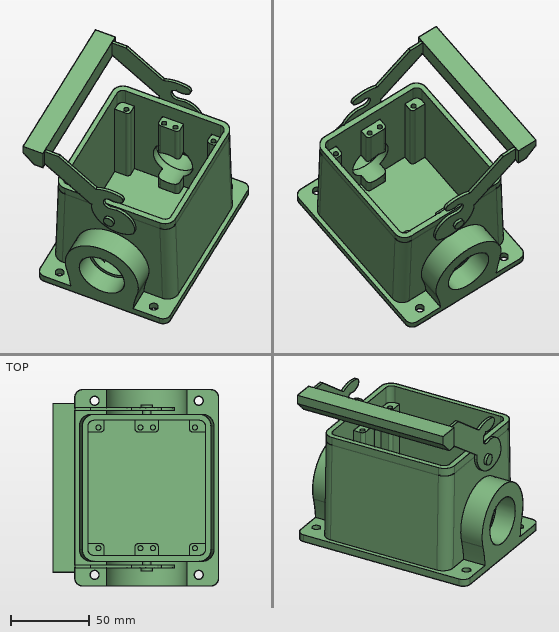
import cadquery as cq
import math

flange_x = 92.25
flange_y = 126.0
flange_height = 5.0
flange_corner_radius = 5.2
mount_hole_diameter = 5.6
mount_hole_spacing_x = 66.7
mount_hole_spacing_y = 111.5

shell_bottom_x = 86.25
shell_top_x = 82.45
shell_y = 94.2
shell_corner_radius = 7.6
shell_top = 79.0
rim_height = 5.6
rim_bottom = shell_top - rim_height
wall_x = 3.5
wall_y = 3.8
cavity_x = shell_top_x - 2 * wall_x
cavity_y = shell_y - 2 * wall_y
cavity_corner_radius = shell_corner_radius - wall_x

post_top = 67.0
post_depth = 7.6
post_corner_radius = 2.3
corner_post_width = 10.4
centre_post_width = 15.0
screw_hole_diameter = 3.2
screw_hole_depth = 12.0
corner_screw_x = 30.9
centre_screw_x = 4.0
screw_y = 38.65

entry_z = 27.0
entry_radius = 25.9
entry_neck_drop = 7.3
entry_bore_radius = 16.0
entry_hole_radius = 14.0
entry_bore_depth = 14.3

pivot_z = 69.0
stud_radius = 2.65
stud_head_radius = 3.6
stud_end_y = 53.2

plate_outer_y = 51.3
plate_thickness = 1.9
overall_x = 106.25
bar_left_x = flange_x / 2 - overall_x
bar_size = 14.1
bar_chamfer = 8.0
bar_length = 108.2
bar_top = 114.8
arm_start_x = bar_left_x + bar_size
arm_top_drop = 1.0
arm_top_z = bar_top - arm_top_drop
arm_top_end_x = -36.1
arm_bottom_start = (-45.5, 101.2)
notch_above_pivot = 16.0
notch_z = pivot_z + notch_above_pivot
notch_radius = 4.4
finger_root = (-9.8, 94.85)
finger_crest = (0.0, 97.0)
finger_tip_top = (7.4, 96.0)
finger_tip = (9.5, 93.1)
finger_tip_bottom = (7.4, 89.9)
finger_under_bend = (3.2, 88.8)
notch_upper_end = (-0.6, 89.4)
notch_lower_end = (0.0, notch_z - notch_radius)
cam_top_start = (5.0, 81.4)
cam_top_mid = (14.3, 77.2)
cam_nose_start = (17.7, 69.3)
cam_nose_mid = (17.5, 66.0)
cam_bottom_start = (16.6, 63.8)
cam_bottom_mid = (1.0, 60.2)
cam_bottom_end = (-12.7, 74.5)
arm_bottom_end = (-12.7, 77.9)


def rounded_slab(size_x, size_y, radius, z_bottom, z_top):
    """Upright block with rounded vertical corners."""
    slab = cq.Workplane("XY", origin=(0, 0, z_bottom)).rect(size_x, size_y).extrude(z_top - z_bottom)
    return slab.edges("|Z").fillet(radius)


def make_shell_block():
    """Solid outer shape of the shell: drafted in X up to the rim, then straight."""
    drafted = (
        cq.Workplane("XZ", origin=(0, shell_y / 2, 0))
        .moveTo(-shell_bottom_x / 2, flange_height)
        .lineTo(shell_bottom_x / 2, flange_height)
        .lineTo(shell_top_x / 2, rim_bottom)
        .lineTo(-shell_top_x / 2, rim_bottom)
        .close()
        .extrude(shell_y)
    )
    upright_edges = drafted.faces("<Y or >Y").edges("not #Z")
    drafted = upright_edges.fillet(shell_corner_radius)
    rim = rounded_slab(shell_top_x, shell_y, shell_corner_radius, rim_bottom, shell_top)
    return drafted.union(rim, clean=False)


def cylinder_y(radius, z, y_start, y_end):
    """Cylinder along Y at x = 0."""
    base = cq.Vector(0, y_start, z)
    return cq.Workplane(cq.Solid.makeCylinder(radius, y_end - y_start, base, cq.Vector(0, 1, 0)))


def make_cable_entry():
    """Round hub on a necked foot that flares out of the flange, across the whole flange in Y."""
    neck_x = math.sqrt(entry_radius**2 - entry_neck_drop**2)
    neck_z = entry_z - entry_neck_drop
    foot_radius = entry_radius * (entry_z / entry_neck_drop - 1)
    foot_centre_x = neck_x * (entry_radius + foot_radius) / entry_radius
    mid_angle = math.asin(neck_z / foot_radius) / 2
    foot_mid_x = foot_centre_x - foot_radius * math.cos(mid_angle)
    foot_mid_z = foot_radius * math.sin(mid_angle)
    foot_x = foot_centre_x - foot_radius
    return (
        cq.Workplane("XZ", origin=(0, flange_y / 2, 0))
        .moveTo(-foot_x, 0)
        .lineTo(foot_x, 0)
        .threePointArc((foot_mid_x, foot_mid_z), (neck_x, neck_z))
        .threePointArc((0, entry_z + entry_radius), (-neck_x, neck_z))
        .threePointArc((-foot_mid_x, foot_mid_z), (-foot_x, 0))
        .close()
        .extrude(flange_y)
    )


def make_post(x_centre, width, side, rounded_edges):
    """Screw post standing on the floor, grown from the Y wall on the given side."""
    y_centre = side * (cavity_y - post_depth) / 2
    post = (
        cq.Workplane("XY", origin=(x_centre, y_centre, flange_height))
        .rect(width, post_depth)
        .extrude(post_top - flange_height)
    )
    inner_face = "<Y" if side > 0 else ">Y"
    return post.faces(inner_face).edges(rounded_edges).fillet(post_corner_radius)


def make_posts():
    posts = cq.Workplane("XY")
    corner_post_x = (cavity_x - corner_post_width) / 2
    for side in (-1, 1):
        posts = posts.union(make_post(0, centre_post_width, side, "|Z"))
        for end in (-1, 1):
            inner_edge = "|Z and <X" if end > 0 else "|Z and >X"
            posts = posts.union(make_post(end * corner_post_x, corner_post_width, side, inner_edge))
    return posts


def make_housing():
    outer = make_shell_block()
    cavity = rounded_slab(cavity_x, cavity_y, cavity_corner_radius, flange_height, shell_top)
    flange = rounded_slab(flange_x, flange_y, flange_corner_radius, 0, flange_height)
    body = flange.union(make_cable_entry()).union(outer, clean=False).cut(cavity, clean=False)
    body = body.union(make_posts().intersect(cavity), clean=False)

    mount_holes = (
        cq.Workplane("XY")
        .rect(mount_hole_spacing_x, mount_hole_spacing_y, forConstruction=True)
        .vertices()
        .circle(mount_hole_diameter / 2)
        .extrude(flange_height)
    )
    screw_points = [
        (end * x, side * screw_y)
        for x in (corner_screw_x, centre_screw_x)
        for end in (-1, 1)
        for side in (-1, 1)
    ]
    screw_holes = (
        cq.Workplane("XY", origin=(0, 0, post_top - screw_hole_depth))
        .pushPoints(screw_points)
        .circle(screw_hole_diameter / 2)
        .extrude(screw_hole_depth)
    )
    body = body.cut(mount_holes, clean=False).cut(screw_holes, clean=False)

    half_y = flange_y / 2
    body = body.cut(cylinder_y(entry_hole_radius, entry_z, -half_y, half_y), clean=False)
    body = body.cut(cylinder_y(entry_bore_radius, entry_z, -half_y, entry_bore_depth - half_y), clean=False)
    body = body.cut(cylinder_y(entry_bore_radius, entry_z, half_y - entry_bore_depth, half_y), clean=False)

    wall_middle_y = shell_y / 2 - wall_y / 2
    stud = cylinder_y(stud_radius, pivot_z, wall_middle_y, plate_outer_y)
    stud = stud.union(cylinder_y(stud_head_radius, pivot_z, plate_outer_y, stud_end_y))
    return body.union(stud, clean=False).union(stud.mirror("XZ"), clean=False)


def make_lever_plate():
    """Side plate on the +Y side: arm, hooked finger, locking notch and cam around the pivot."""
    return (
        cq.Workplane("XZ", origin=(0, plate_outer_y, 0))
        .moveTo(arm_start_x, arm_top_z)
        .lineTo(arm_top_end_x, arm_top_z)
        .lineTo(*finger_root)
        .threePointArc(finger_crest, finger_tip_top)
        .threePointArc(finger_tip, finger_tip_bottom)
        .threePointArc(finger_under_bend, notch_upper_end)
        .threePointArc((-notch_radius, notch_z), notch_lower_end)
        .lineTo(*cam_top_start)
        .threePointArc(cam_top_mid, cam_nose_start)
        .threePointArc(cam_nose_mid, cam_bottom_start)
        .threePointArc(cam_bottom_mid, cam_bottom_end)
        .lineTo(*arm_bottom_end)
        .lineTo(*arm_bottom_start)
        .lineTo(arm_start_x, arm_bottom_start[1])
        .close()
        .extrude(plate_thickness)
        .cut(cylinder_y(stud_radius, pivot_z, 0, flange_y))
    )


def make_lever():
    bar = (
        cq.Workplane("XZ", origin=(0, bar_length / 2, 0))
        .moveTo(bar_left_x, bar_top)
        .lineTo(arm_start_x, bar_top)
        .lineTo(arm_start_x, bar_top - bar_size)
        .lineTo(bar_left_x + bar_chamfer, bar_top - bar_size)
        .lineTo(bar_left_x, bar_top - bar_size + bar_chamfer)
        .close()
        .extrude(bar_length)
    )
    plate = make_lever_plate()
    return bar.union(plate).union(plate.mirror("XZ"))


housing = make_housing()
lever = make_lever()
result = cq.Compound.makeCompound([housing.val(), lever.val()])